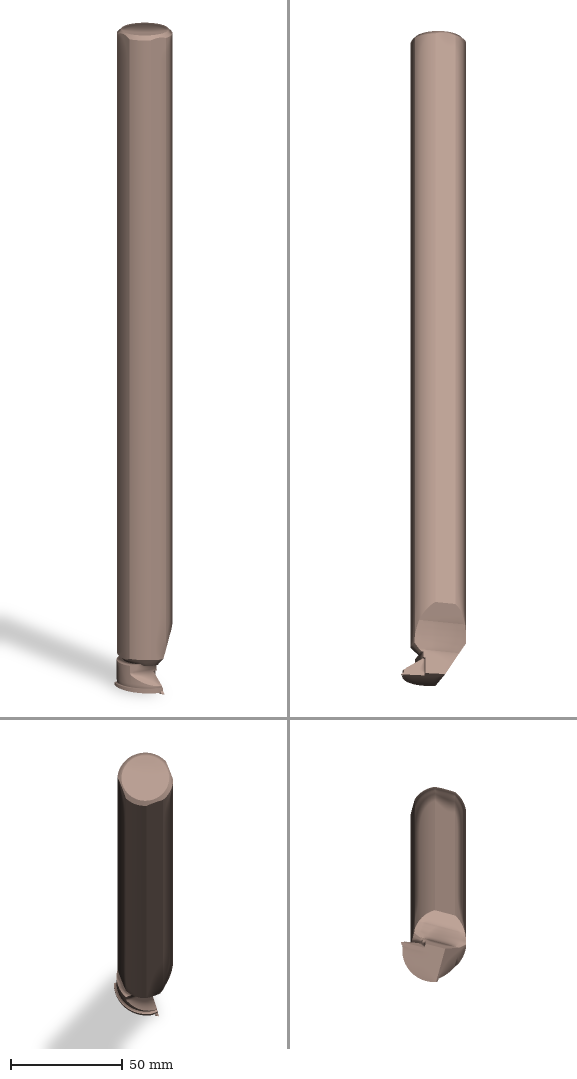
import cadquery as cq

LENGTH = 306.0
SHANK_RADIUS = 12.5
REAR_FLAT = 11.5
FRONT_FLAT = 11.3
TOOL_SIDE_FLAT = 12.0
TOP_CHAMFER = 1.8
SHANK_END = 11.3
END_CHAMFER = 4.0

HEAD_AXIS_X = 1.5
HEAD_RADIUS = 14.7
NECK_RADIUS = 13.5
HEAD_TOP = 12.5
LIP_HEIGHT = 2.8
NECK_X = 7.3
NECK_FILLET_DIAMETER = 2.8
NECK_BOTTOM = 8.5
HEAD_REACH = 16.0
HEAD_BOTTOM = 0.5
HEEL_X = -2.8
HEEL_Z = 1.5
RELIEF_X = -SHANK_RADIUS
RELIEF_Z = 17.5

SCOOP_TOP = 31.8
SCOOP_SHOULDER = (6.5, 24.5)
SCOOP_MIDDLE = (3.7, 18.0)
RAKE_Y = 1.8
RAKE_TOP = 12.2

TIP_X = 17.5
INSERT_LEFT = 6.5
INSERT_TOP = 3.7
INSERT_SHOULDER_X = 13.0
INSERT_THICKNESS = 1.5
INSERT_BACK_X = 16.5

CORNER_BOX = 0.3
CLEAR = 2 * HEAD_RADIUS


def make_shank():
    """Round bar with chamfered ends and flats on three sides."""
    bar = cq.Workplane("XY").workplane(offset=SHANK_END).circle(SHANK_RADIUS).extrude(LENGTH - SHANK_END)
    bar = bar.faces(">Z").chamfer(TOP_CHAMFER)
    bar = bar.faces("<Z").chamfer(END_CHAMFER)
    flats = cq.Workplane("XY").box(
        SHANK_RADIUS + TOOL_SIDE_FLAT, FRONT_FLAT + REAR_FLAT, LENGTH, centered=False
    ).translate((-SHANK_RADIUS, -FRONT_FLAT, 0))
    return bar.intersect(flats)


def make_head():
    """Hooked neck and lip, bounded by arcs about the head axis."""
    profile = [
        (-NECK_RADIUS, HEAD_TOP),
        (NECK_X, HEAD_TOP),
        (NECK_X, NECK_BOTTOM),
        (HEAD_REACH, LIP_HEIGHT),
        (HEAD_REACH, HEAD_BOTTOM),
        (HEEL_X, HEEL_Z),
        (-NECK_RADIUS, HEEL_Z),
    ]
    hook = cq.Workplane("XZ").polyline(profile).close().extrude(CLEAR, both=True)
    inner_corner = cq.selectors.BoxSelector(
        (NECK_X - CORNER_BOX, -CLEAR, NECK_BOTTOM - CORNER_BOX),
        (NECK_X + CORNER_BOX, CLEAR, NECK_BOTTOM + CORNER_BOX),
    )
    hook = hook.edges("|Y").edges(inner_corner).fillet(NECK_FILLET_DIAMETER / 2)
    base = cq.Workplane("XY").center(HEAD_AXIS_X, 0)
    lip = base.circle(HEAD_RADIUS).extrude(LIP_HEIGHT)
    neck = base.circle(NECK_RADIUS).extrude(HEAD_TOP)
    return hook.intersect(lip.union(neck))


def make_back_relief():
    """Wedge that slopes the -X side in towards the heel."""
    slope = (HEEL_X - RELIEF_X) / (RELIEF_Z - HEEL_Z)
    foot_x = HEEL_X + slope * HEEL_Z
    points = [(RELIEF_X, RELIEF_Z), (foot_x, 0), (-CLEAR, 0), (-CLEAR, RELIEF_Z)]
    return cq.Workplane("XZ").polyline(points).close().extrude(CLEAR, both=True)


def make_chip_scoop():
    """Curved clearance from the +Y flat down to the rake face."""
    return (
        cq.Workplane("YZ")
        .moveTo(CLEAR, SCOOP_TOP)
        .lineTo(REAR_FLAT, SCOOP_TOP)
        .lineTo(*SCOOP_SHOULDER)
        .threePointArc(SCOOP_MIDDLE, (RAKE_Y, RAKE_TOP))
        .lineTo(RAKE_Y, 0)
        .lineTo(CLEAR, 0)
        .close()
        .extrude(CLEAR, both=True)
    )


def make_insert():
    """Thin pointed plate with its cutting face in the plane Y = 0."""
    points = [
        (INSERT_LEFT, HEAD_BOTTOM),
        (INSERT_LEFT, INSERT_TOP),
        (INSERT_SHOULDER_X, INSERT_TOP),
        (TIP_X, 0),
    ]
    plate = cq.Workplane("XZ").polyline(points).close().extrude(INSERT_THICKNESS)
    outline = [
        (INSERT_LEFT, 0),
        (TIP_X, 0),
        (INSERT_BACK_X, -INSERT_THICKNESS),
        (INSERT_LEFT, -INSERT_THICKNESS),
    ]
    return plate.intersect(cq.Workplane("XY").polyline(outline).close().extrude(INSERT_TOP))


def make_insert_clearance():
    """Open space in front of the insert's cutting face."""
    return cq.Workplane("XY").box(CLEAR, CLEAR, NECK_BOTTOM, centered=False).translate((INSERT_LEFT, 0, 0))


insert = make_insert()
holder = make_shank().union(make_head())
holder = holder.cut(make_back_relief()).cut(make_chip_scoop())
holder = holder.cut(make_insert_clearance()).cut(insert)

result = cq.Compound.makeCompound([holder.val(), insert.val()])